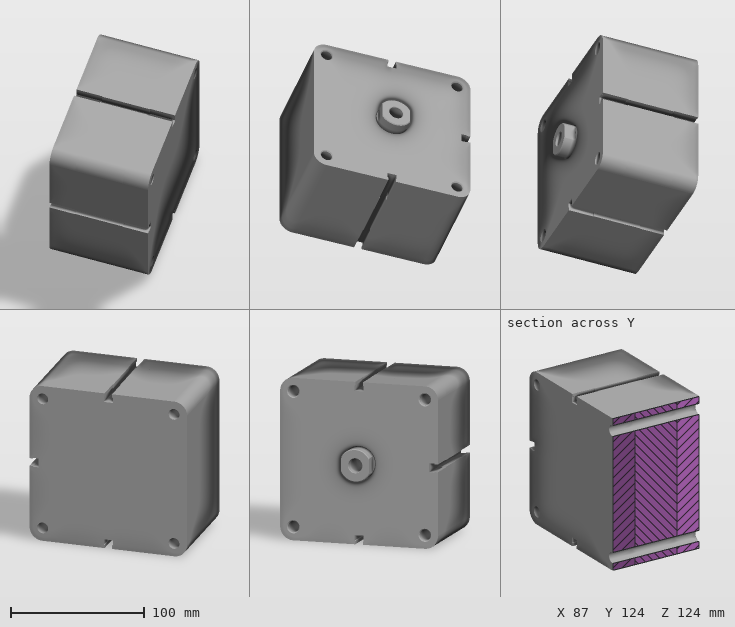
import cadquery as cq

side = 124.0
corner_radius = 10.2
rod_reach = 9.5
front_cap_length = 20.2
barrel_length = 37.5
rear_cap_length = 19.8

barrel_start = front_cap_length
rear_cap_start = barrel_start + barrel_length

bolt_hole_diameter = 8.5
bolt_hole_chamfer = 0.7
bolt_edge_distance = 10.3
bolt_spacing = side - 2 * bolt_edge_distance

slot_depth = 7.0
cap_slot_mouth = 6.0
cap_slot_width = 7.1
cap_lip_depth = 2.5
cap_taper_end = 2.9
barrel_slot_mouth = 5.2
barrel_slot_width = 6.0
barrel_lip_depth = 3.3
barrel_taper_end = 3.7
slot_angles = (0, 90, 180)

rod_diameter = 25.2
rod_tip_chamfer = 0.6
rod_flat_spacing = 22.0
rod_flat_length = 8.5
rod_bore_chamfer = 0.6
rod_hole_diameter = 10.8
rod_hole_chamfer = 0.4
rod_hole_depth = 19.8
drill_tip_height = 3.5


def slot_cutter(start, length, mouth, width, lip_depth, taper_end):
    """Undercut slot along X that opens on the +Z side."""
    top = side / 2
    half_profile = [
        (mouth / 2, top),
        (mouth / 2, top - lip_depth),
        (width / 2, top - taper_end),
        (width / 2, top - slot_depth),
    ]
    mirrored_profile = [(-y, z) for y, z in reversed(half_profile)]
    return (
        cq.Workplane("YZ", origin=(start, 0, 0))
        .polyline(half_profile + mirrored_profile)
        .close()
        .extrude(length)
    )


def housing_section(start, length, *slot_profile):
    """Rounded square block with the bolt holes and the three slots."""
    block = (
        cq.Workplane("YZ", origin=(start, 0, 0))
        .rect(side, side)
        .extrude(length)
        .edges("|X")
        .fillet(corner_radius)
    )
    bolt_holes = (
        cq.Workplane("YZ", origin=(start, 0, 0))
        .rect(bolt_spacing, bolt_spacing, forConstruction=True)
        .vertices()
        .circle(bolt_hole_diameter / 2)
        .extrude(length)
    )
    block = block.cut(bolt_holes)
    slot = slot_cutter(start, length, *slot_profile)
    for angle in slot_angles:
        block = block.cut(slot.rotate((0, 0, 0), (1, 0, 0), angle))
    return block


def cap(start, length):
    return housing_section(
        start, length, cap_slot_mouth, cap_slot_width, cap_lip_depth, cap_taper_end
    )


def make_front_cap():
    """Cap with chamfered bolt holes and a chamfered bore for the rod."""
    smallest_arcs = cq.selectors.RadiusNthSelector(0)
    largest_arcs = cq.selectors.RadiusNthSelector(-1)
    body = cap(0, front_cap_length)
    body = body.faces("<X").edges("%CIRCLE").edges(smallest_arcs).chamfer(bolt_hole_chamfer)
    bore = cq.Workplane("YZ").circle(rod_diameter / 2).extrude(front_cap_length)
    body = body.cut(bore)
    return body.faces("<X").edges("%CIRCLE").edges(largest_arcs).chamfer(rod_bore_chamfer)


def make_barrel():
    return housing_section(
        barrel_start,
        barrel_length,
        barrel_slot_mouth,
        barrel_slot_width,
        barrel_lip_depth,
        barrel_taper_end,
    )


def make_rear_cap():
    return cap(rear_cap_start, rear_cap_length)


def make_rod():
    """Rod through the front cap, with two wrench flats and a drilled hole in its end."""
    rod = (
        cq.Workplane("YZ", origin=(-rod_reach, 0, 0))
        .circle(rod_diameter / 2)
        .extrude(rod_reach + front_cap_length)
        .faces("<X")
        .chamfer(rod_tip_chamfer)
    )
    between_flats = cq.Workplane("XY").box(rod_flat_length, rod_flat_spacing, rod_diameter)
    flat_stock = cq.Workplane("XY").box(rod_flat_length, rod_diameter, rod_diameter)
    flats = flat_stock.cut(between_flats).translate((rod_flat_length / 2 - rod_reach, 0, 0))
    drilled_hole = (
        cq.Workplane("XY", origin=(-rod_reach, 0, 0))
        .polyline(
            [
                (0, 0),
                (0, rod_hole_diameter / 2 + rod_hole_chamfer),
                (rod_hole_chamfer, rod_hole_diameter / 2),
                (rod_hole_depth, rod_hole_diameter / 2),
                (rod_hole_depth + drill_tip_height, 0),
            ]
        )
        .close()
        .revolve(360, (0, 0, 0), (1, 0, 0))
    )
    return rod.cut(flats).cut(drilled_hole)


front_cap = make_front_cap()
barrel = make_barrel()
rear_cap = make_rear_cap()
rod = make_rod()

result = cq.Compound.makeCompound([front_cap.val(), barrel.val(), rear_cap.val(), rod.val()])